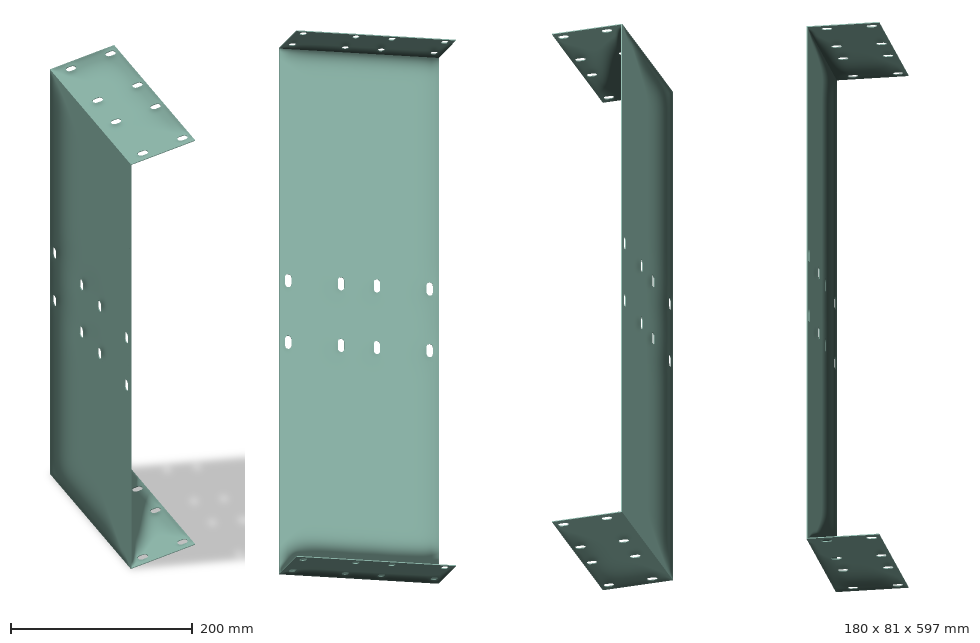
import cadquery as cq

width = 180.0
depth = 81.0
height = 597.0
thickness = 1.0

slot_width = 7.0
edge_margin = 10.0

outer_column = width / 2 - edge_margin
inner_column = 20.0
column_positions = (-outer_column, -inner_column, inner_column, outer_column)

web_slot_length = 15.0
web_row_spacing = 70.0
web_rows = (-web_row_spacing / 2, web_row_spacing / 2)

flange_slot_length = 12.0
flange_row_spacing = 50.0
far_row = depth / 2 - edge_margin
flange_rows = (far_row - flange_row_spacing, far_row)


def channel():
    """Web on the -Y side with a flange running toward +Y at each end."""
    outer = cq.Workplane("XY").box(width, depth, height)
    inner = cq.Workplane("XY").box(width, depth, height - 2 * thickness)
    return outer.cut(inner.translate((0, thickness, 0)))


def slot_cutters(plane, rows, length, reach):
    """Round-ended slots at every column and row, running both ways from the plane."""
    centres = [(x, row) for x in column_positions for row in rows]
    return (
        cq.Workplane(plane)
        .pushPoints(centres)
        .slot2D(length, slot_width, 90)
        .extrude(reach, both=True)
    )


web_slots = slot_cutters("XZ", web_rows, web_slot_length, depth)
flange_slots = slot_cutters("XY", flange_rows, flange_slot_length, height)

result = channel().cut(web_slots).cut(flange_slots)